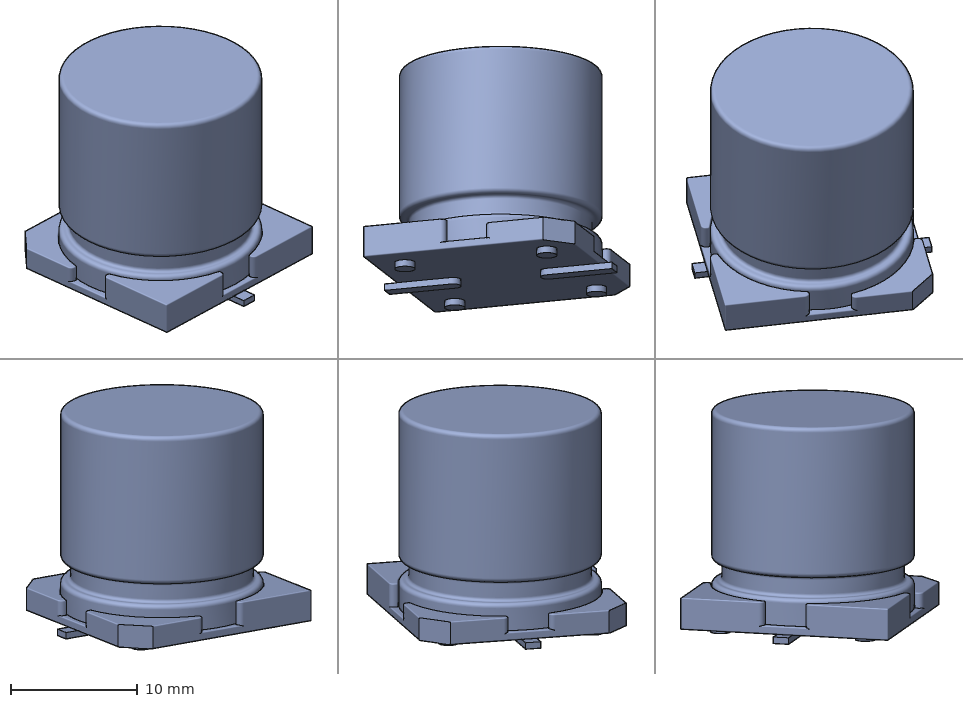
import cadquery as cq

total_height = 17.1
base_side = 17.0
lead_span = 19.0

can_diameter = 16.0
groove_diameter = 14.4
groove_bottom = 3.35
groove_top = 5.04
can_edge_radius = 0.36
groove_corner_radius = 0.28

standoff_height = 0.53
floor_top = 1.18
low_corner_top = 2.4
tall_corner_top = 3.05
cavity_radius = 8.05
notch_half_width = 1.7
notch_outer_radius = 0.4
notch_inner_radius = 0.17
base_edge_radius = 0.1
chamfer_leg = 2.0

lead_width = 1.25
lead_inner_end = 3.36
foot_diameter = 1.6
foot_offset = 5.93

half_side = base_side / 2
both_sides = (-1, 1)

tolerance = 0.002


def round_rims(body, rim_radius, heights, fillet_radius):
    """Fillet the circular edges of one radius that lie at the given heights."""
    rims = []
    for edge in body.edges("%CIRCLE").vals():
        right_size = abs(edge.radius() - rim_radius) < tolerance
        right_height = any(abs(edge.Center().z - height) < tolerance for height in heights)
        if right_size and right_height:
            rims.append(edge)
    return body.newObject(rims).fillet(fillet_radius)


def make_can():
    """Round can with a crimp groove and rounded edges."""
    can_radius = can_diameter / 2
    groove_radius = groove_diameter / 2
    body = (
        cq.Workplane("XY")
        .workplane(offset=floor_top)
        .circle(can_radius)
        .extrude(total_height - floor_top)
    )
    groove = (
        cq.Workplane("XY")
        .workplane(offset=groove_bottom)
        .circle(can_diameter)
        .circle(groove_radius)
        .extrude(groove_top - groove_bottom)
    )
    body = body.cut(groove)
    body = round_rims(body, can_radius, (groove_bottom, groove_top, total_height), can_edge_radius)
    return round_rims(body, groove_radius, (groove_bottom, groove_top), groove_corner_radius)


def on_notch(distance):
    return distance < notch_half_width + tolerance


def on_outside(distance):
    return distance > half_side - tolerance


def round_vertical_edges(body, radius, is_wanted):
    """Fillet vertical edges chosen by their smaller and larger distance from the center planes."""
    chosen = []
    for edge in body.edges("|Z").vals():
        center = edge.Center()
        near, far = sorted((abs(center.x), abs(center.y)))
        if is_wanted(near, far):
            chosen.append(edge)
    return body.newObject(chosen).fillet(radius)


def make_corner_block(x_sign, y_sign):
    """One base corner, hollowed for the can, with a rounded tip beside each notch."""
    top = low_corner_top if x_sign < 0 else tall_corner_top
    bottom = (standoff_height + floor_top) / 2
    middle = (notch_half_width + half_side) / 2
    size = half_side - notch_half_width
    block = (
        cq.Workplane("XY")
        .workplane(offset=bottom)
        .center(x_sign * middle, y_sign * middle)
        .rect(size, size)
        .extrude(top - bottom)
    )
    cavity = cq.Workplane("XY").circle(cavity_radius).extrude(total_height)
    block = block.cut(cavity)
    block = round_vertical_edges(
        block, notch_inner_radius, lambda near, far: on_notch(near) and not on_outside(far)
    )
    block = round_vertical_edges(
        block, notch_outer_radius, lambda near, far: on_notch(near) and on_outside(far)
    )
    if x_sign > 0:
        block = round_vertical_edges(block, base_edge_radius, lambda near, far: on_outside(near))
    return block.faces(">Z").edges().fillet(base_edge_radius)


def make_corner_chamfer(y_sign):
    """Triangular prism that cuts off one -X corner of the base."""
    return (
        cq.Workplane("XY")
        .moveTo(-half_side, y_sign * half_side)
        .line(chamfer_leg, 0)
        .line(-chamfer_leg, -y_sign * chamfer_leg)
        .close()
        .extrude(total_height)
    )


def make_base():
    """Floor plate with two low chamfered corners at -X and two tall corners at +X."""
    base = (
        cq.Workplane("XY")
        .workplane(offset=standoff_height)
        .rect(base_side, base_side)
        .extrude(floor_top - standoff_height)
        .edges("|Z and >X")
        .fillet(base_edge_radius)
        .faces(">Z or <Z")
        .edges()
        .fillet(base_edge_radius)
    )
    for x_sign in both_sides:
        for y_sign in both_sides:
            base = base.union(make_corner_block(x_sign, y_sign))
    for y_sign in both_sides:
        base = base.cut(make_corner_chamfer(y_sign))
    return base


def make_feet():
    """Four round standoff feet under the base."""
    return (
        cq.Workplane("XY")
        .rect(2 * foot_offset, 2 * foot_offset, forConstruction=True)
        .vertices()
        .circle(foot_diameter / 2)
        .extrude(standoff_height)
    )


def make_lead(x_sign):
    """Flat lead with a half-round inner end."""
    half_width = lead_width / 2
    outer_x = x_sign * lead_span / 2
    inner_x = x_sign * lead_inner_end
    arc_start_x = x_sign * (lead_inner_end + half_width)
    return (
        cq.Workplane("XY")
        .moveTo(outer_x, -half_width)
        .lineTo(arc_start_x, -half_width)
        .threePointArc((inner_x, 0), (arc_start_x, half_width))
        .lineTo(outer_x, half_width)
        .close()
        .extrude(standoff_height)
    )


result = make_base().union(make_can()).union(make_feet())
for side in both_sides:
    result = result.union(make_lead(side))